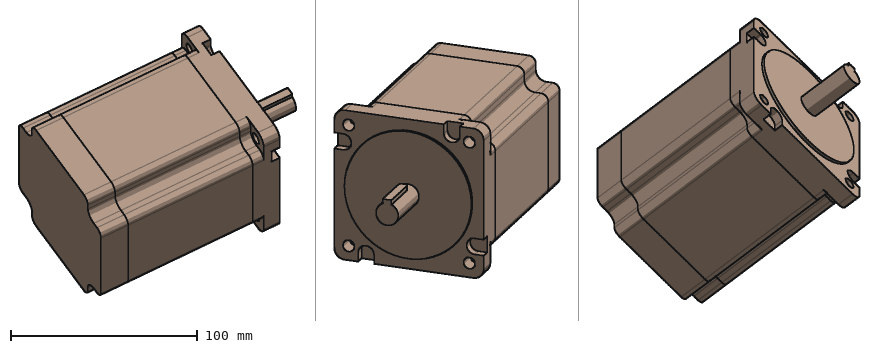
import cadquery as cq


width = 86.0
total_length = 143.5
shaft_reach = 32.0
body_length = total_length - shaft_reach
front_length = 17.0
rear_length = front_length
stator_length = body_length - front_length - rear_length

plate_thickness = 10.0
plate_corner_radius = 6.0
bolt_hole_diameter = 6.5
bolt_spacing = 69.5

relief_spacing = 58.5
relief_inner_radius = 6.0
relief_outer_radius = 4.3

pilot_diameter = 73.0
pilot_height = 1.6

notch_width = 9.2
notch_offset = 24.7
notch_wall_height = 5.2
notch_length = 5.2
notch_count = 4

shaft_diameter = 12.8
key_width = 5.0
key_length = 25.0
key_top = 8.5

half_width = width / 2


def plane_at(y):
    """Plane across the shaft axis at Y = y: local x = X, local y = Z, extrusion toward -Y."""
    return cq.Workplane("XZ", origin=(0, y, 0))


def relieved_block(y, length):
    """Square block with a rounded relief along each of its four long corners."""
    block = (
        plane_at(y)
        .rect(width, relief_spacing)
        .extrude(length)
        .union(plane_at(y).rect(relief_spacing, width).extrude(length))
    )
    block = block.faces("<X or >X or <Z or >Z").edges("|Y").fillet(relief_outer_radius)

    reach = (half_width - relief_outer_radius + relief_spacing / 2) / 2
    around_inner_corners = cq.selectors.BoxSelector((-reach, y - length, -reach), (reach, y, reach))
    inner_edges = block.edges("|Y").edges(around_inner_corners)
    return inner_edges.fillet(relief_inner_radius)


def rim_notch():
    """Cutter for the notch in the top side of the plate: straight walls, then a half-round floor."""
    floor_center = half_width - notch_wall_height
    walls = (
        plane_at(0)
        .center(-notch_offset, floor_center + notch_wall_height / 2)
        .rect(notch_width, notch_wall_height)
        .extrude(notch_length)
    )
    floor = plane_at(0).center(-notch_offset, floor_center).circle(notch_width / 2).extrude(notch_length)
    return walls.union(floor)


def make_front_housing():
    """Mounting plate and pilot in front of a relieved neck, with bolt holes and rim notches."""
    plate = plane_at(0).rect(width, width).extrude(plate_thickness)
    plate = plate.edges("|Y").fillet(plate_corner_radius)
    neck = relieved_block(-plate_thickness, front_length - plate_thickness)
    pilot = plane_at(pilot_height).circle(pilot_diameter / 2).extrude(pilot_height)
    housing = plate.union(neck).union(pilot)

    bolt_holes = (
        plane_at(0)
        .rect(bolt_spacing, bolt_spacing, forConstruction=True)
        .vertices()
        .circle(bolt_hole_diameter / 2)
        .extrude(plate_thickness)
    )
    housing = housing.cut(bolt_holes)

    for i in range(notch_count):
        angle = i * 360 / notch_count
        housing = housing.cut(rim_notch().rotate((0, 0, 0), (0, 1, 0), angle))
    return housing


def make_stator():
    return relieved_block(-front_length, stator_length)


def make_rear_cap():
    return relieved_block(-front_length - stator_length, rear_length)


def make_shaft():
    """Round shaft standing on the pilot face, with a key that is rounded at its inner end."""
    shaft = plane_at(shaft_reach).circle(shaft_diameter / 2).extrude(shaft_reach - pilot_height)
    round_center = shaft_reach - key_length + key_width / 2
    key = (
        cq.Workplane("XY")
        .moveTo(-key_width / 2, shaft_reach)
        .lineTo(-key_width / 2, round_center)
        .threePointArc((0, shaft_reach - key_length), (key_width / 2, round_center))
        .lineTo(key_width / 2, shaft_reach)
        .close()
        .extrude(key_top)
    )
    return shaft.union(key)


front_housing = make_front_housing()
stator = make_stator()
rear_cap = make_rear_cap()
shaft = make_shaft()

result = cq.Compound.makeCompound([
    front_housing.val(),
    stator.val(),
    rear_cap.val(),
    shaft.val(),
])